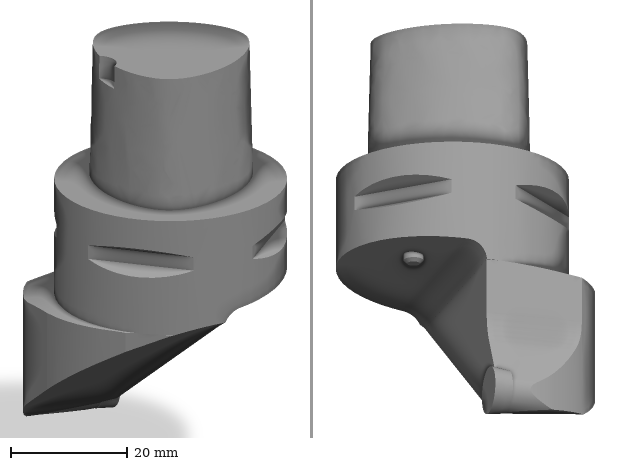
import cadquery as cq
import math


SHANK_HEIGHT = 24.0
SHANK_BASE_RADIUS = 14.05
SHANK_TAPER = 1 / 40
LOBE_RISE = 0.9
OUTLINE_POINTS = 36
NOTCH_RADIUS = 3.3
NOTCH_DEPTH = 4.15
NOTCH_CENTER_Y = -14.3

COLLAR_RADIUS = 40.0 / 2
COLLAR_HEIGHT = 21.0
GROOVE_FLOOR_DISTANCE = 17.6
GROOVE_FLOOR_WIDTH = 2.45
GROOVE_FLANK_ANGLE = 30
GROOVE_Z = -8.1

ARM_FACE_Y = -0.4
TOTAL_WIDTH_Y = 42.5
ARM_FRONT_Y = COLLAR_RADIUS - TOTAL_WIDTH_Y
ARM_BACK_X = -19.8
ARM_BEND_RADIUS = 11.1
ARM_TOP_ANGLE = 15
ARM_TOP_REACH = 33.3
FINGER_ANGLE = 61.3
HEEL_ANGLE = 35.2
HEEL_MEET_ANGLE = 63

TOTAL_HEIGHT = 74.0
TOTAL_LENGTH_X = 47.0
INSERT_RADIUS = 4.15
INSERT_TOP_Y = 0.15
INSERT_THICKNESS = 3.25
INSERT_RELIEF_ANGLE = 7
FINGER_TIP_RADIUS = 3.4
TIP_X = COLLAR_RADIUS - TOTAL_LENGTH_X + INSERT_RADIUS
TIP_Z = SHANK_HEIGHT - TOTAL_HEIGHT + INSERT_RADIUS
FINGER_TIP_DROP = 0.3
FINGER_TIP_Z = TIP_Z - FINGER_TIP_DROP

CLEARANCE_RISE_Y = 6.5
CLEARANCE_RISE_X = 8.5
CLEARANCE_SIZE = 44.4

RELIEF_OUTER_Z = -16.1
RELIEF_ANGLE = 4.8
RELIEF_FILLET = 3.7

NOZZLE_RADIUS = 3.4 / 2
NOZZLE_X = -7.4
NOZZLE_Y = 9.1
NOZZLE_END_Z = -18.6
NOZZLE_CHAMFER = 0.6
NOZZLE_LENGTH = 3.7

MARGIN = 7.4


def lobed_point(mean_radius, angle):
    """Point of a convex three-lobed curve with one lobe toward +Y."""
    phase = 3 * (angle - math.pi / 2)
    support = mean_radius + LOBE_RISE * math.cos(phase)
    slope = -3 * LOBE_RISE * math.sin(phase)
    x = support * math.cos(angle) - slope * math.sin(angle)
    y = support * math.sin(angle) + slope * math.cos(angle)
    return x, y


def lobed_outline(mean_radius):
    step = 2 * math.pi / OUTLINE_POINTS
    return [lobed_point(mean_radius, i * step) for i in range(OUTLINE_POINTS)]


def make_shank():
    top_radius = SHANK_BASE_RADIUS - SHANK_HEIGHT * SHANK_TAPER
    shank = (
        cq.Workplane("XY")
        .spline(lobed_outline(SHANK_BASE_RADIUS), periodic=True).close()
        .workplane(offset=SHANK_HEIGHT)
        .spline(lobed_outline(top_radius), periodic=True).close()
        .loft(ruled=True)
    )
    notch = (
        cq.Workplane("XY", origin=(0, NOTCH_CENTER_Y, SHANK_HEIGHT - NOTCH_DEPTH))
        .circle(NOTCH_RADIUS)
        .extrude(NOTCH_DEPTH + MARGIN)
    )
    return shank.cut(notch)


def make_groove(angle):
    """Trapezoidal groove running across the collar at the given angle."""
    depth = COLLAR_RADIUS + MARGIN - GROOVE_FLOOR_DISTANCE
    floor_half = GROOVE_FLOOR_WIDTH / 2
    mouth_half = floor_half + depth * math.tan(math.radians(GROOVE_FLANK_ANGLE))
    mouth_x = GROOVE_FLOOR_DISTANCE + depth
    return (
        cq.Workplane("XZ")
        .moveTo(GROOVE_FLOOR_DISTANCE, GROOVE_Z - floor_half)
        .lineTo(mouth_x, GROOVE_Z - mouth_half)
        .lineTo(mouth_x, GROOVE_Z + mouth_half)
        .lineTo(GROOVE_FLOOR_DISTANCE, GROOVE_Z + floor_half)
        .close()
        .extrude(COLLAR_RADIUS, both=True)
        .rotate((0, 0, 0), (0, 0, 1), angle)
    )


def make_collar():
    collar = cq.Workplane("XY").circle(COLLAR_RADIUS).extrude(-COLLAR_HEIGHT)
    for angle in (45, 135, 225, 315):
        collar = collar.cut(make_groove(angle))
    return collar


def make_arm_plan():
    """Plan outline of the arm, extruded from the collar down past the tip."""
    return (
        cq.Workplane("XY")
        .moveTo(-26.8, ARM_FACE_Y)
        .threePointArc((-23.0, -13.7), (-13.2, -21.6))
        .threePointArc((-11.2, -22.3), (-9.0, ARM_FRONT_Y))
        .lineTo(-2.95, ARM_FRONT_Y)
        .threePointArc((4.3, -21.0), (10.7, -17.4))
        .lineTo(12.95, -15.7)
        .lineTo(17.75, -9.6)
        .lineTo(COLLAR_RADIUS, ARM_FACE_Y)
        .close()
        .extrude(-TOTAL_HEIGHT)
    )


def make_arm_top_limit():
    """Solid of revolution whose conical top slopes down from the collar edge."""
    drop = (ARM_TOP_REACH - COLLAR_RADIUS) * math.tan(math.radians(ARM_TOP_ANGLE))
    return (
        cq.Workplane("XZ")
        .moveTo(0, -COLLAR_HEIGHT)
        .lineTo(COLLAR_RADIUS, -COLLAR_HEIGHT)
        .lineTo(ARM_TOP_REACH, -COLLAR_HEIGHT - drop)
        .lineTo(ARM_TOP_REACH, -TOTAL_HEIGHT)
        .lineTo(0, -TOTAL_HEIGHT)
        .close()
        .revolve(360, (0, 0, 0), (0, 1, 0))
    )


def make_side_profile():
    """Side outline of collar and arm: upright back, bent finger, round tip, heel."""
    finger = math.radians(FINGER_ANGLE)
    heel = math.radians(HEEL_ANGLE)
    meet = math.radians(HEEL_MEET_ANGLE)
    upper_tangent = (
        TIP_X - FINGER_TIP_RADIUS * math.sin(finger),
        FINGER_TIP_Z + FINGER_TIP_RADIUS * math.cos(finger),
    )
    heel_start = (
        TIP_X + FINGER_TIP_RADIUS * math.sin(meet),
        FINGER_TIP_Z - FINGER_TIP_RADIUS * math.cos(meet),
    )
    tip_bottom = (TIP_X, FINGER_TIP_Z - FINGER_TIP_RADIUS)
    corner_z = upper_tangent[1] + (ARM_BACK_X - upper_tangent[0]) * math.tan(finger)
    turn = math.pi / 2 - finger
    tangent_length = ARM_BEND_RADIUS * math.tan(turn / 2)
    bend_start = (
        ARM_BACK_X - tangent_length * math.cos(finger),
        corner_z - tangent_length * math.sin(finger),
    )
    bend_end_z = corner_z + tangent_length
    bend_middle = (
        ARM_BACK_X - ARM_BEND_RADIUS * (1 - math.cos(turn / 2)),
        bend_end_z - ARM_BEND_RADIUS * math.sin(turn / 2),
    )
    right_x = COLLAR_RADIUS + MARGIN
    right_z = heel_start[1] + (right_x - heel_start[0]) * math.tan(heel)
    left_x = -right_x
    return (
        cq.Workplane("XZ")
        .moveTo(*upper_tangent)
        .lineTo(*bend_start)
        .threePointArc(bend_middle, (ARM_BACK_X, bend_end_z))
        .lineTo(ARM_BACK_X, -COLLAR_HEIGHT)
        .lineTo(left_x, -COLLAR_HEIGHT)
        .lineTo(left_x, 0)
        .lineTo(right_x, 0)
        .lineTo(right_x, right_z)
        .lineTo(*heel_start)
        .threePointArc(tip_bottom, upper_tangent)
        .close()
        .extrude(COLLAR_RADIUS + MARGIN, both=True)
    )


def make_tip_clearance():
    """Block whose tilted top trims the underside of the finger tip."""
    return (
        cq.Workplane("XY")
        .box(CLEARANCE_SIZE, CLEARANCE_SIZE, CLEARANCE_SIZE, centered=(True, True, False))
        .translate((0, 0, -CLEARANCE_SIZE))
        .rotate((0, 0, 0), (1, 0, 0), -CLEARANCE_RISE_Y)
        .rotate((0, 0, 0), (0, 1, 0), -CLEARANCE_RISE_X)
        .translate((TIP_X, INSERT_TOP_Y - INSERT_THICKNESS, FINGER_TIP_Z - FINGER_TIP_RADIUS))
    )


def make_collar_relief():
    """Cut under the rake side of the collar, filleted into the arm face."""
    outer_y = COLLAR_RADIUS + MARGIN
    slope = math.tan(math.radians(RELIEF_ANGLE))
    outer_z = RELIEF_OUTER_Z + MARGIN * slope
    inner_z = outer_z - (outer_y - ARM_FACE_Y) * slope
    relief = (
        cq.Workplane("YZ")
        .moveTo(ARM_FACE_Y, inner_z)
        .lineTo(outer_y, outer_z)
        .lineTo(outer_y, -TOTAL_HEIGHT)
        .lineTo(ARM_FACE_Y, -TOTAL_HEIGHT)
        .close()
        .extrude(COLLAR_RADIUS + MARGIN, both=True)
    )
    return relief.faces("<Y").edges(">Z").fillet(RELIEF_FILLET)


def make_nozzle():
    return (
        cq.Workplane("XY", origin=(NOZZLE_X, NOZZLE_Y, NOZZLE_END_Z))
        .circle(NOZZLE_RADIUS)
        .extrude(NOZZLE_LENGTH)
        .faces("<Z")
        .chamfer(NOZZLE_CHAMFER)
    )


def make_insert():
    """Round insert narrowing away from its cutting face."""
    return (
        cq.Workplane("XZ", origin=(TIP_X, INSERT_TOP_Y, TIP_Z))
        .circle(INSERT_RADIUS)
        .extrude(INSERT_THICKNESS, taper=INSERT_RELIEF_ANGLE)
    )


def make_holder():
    arm = make_arm_plan().intersect(make_arm_top_limit())
    holder = make_collar().union(arm).intersect(make_side_profile())
    holder = holder.cut(make_collar_relief()).cut(make_tip_clearance())
    return holder.union(make_shank()).union(make_nozzle())


insert = make_insert()
holder = make_holder().cut(insert)

result = cq.Compound.makeCompound([holder.val(), insert.val()])